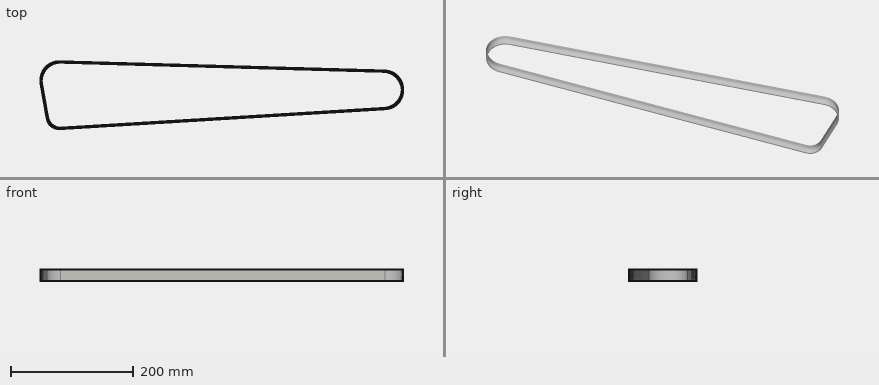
import cadquery as cq
import math

LENGTH = 593.83
DEPTH = 110.82
WIDTH = 19.05

THICKNESS = 2.03
LARGE_RADIUS = 31.68
SMALL_RADIUS = 21.6

RIGHT_PULLEY_RISE = 64.12

LEFT_X = LARGE_RADIUS - LENGTH / 2
TOP_LEFT = (LEFT_X, DEPTH / 2 - LARGE_RADIUS, LARGE_RADIUS)
RIGHT = (LENGTH / 2 - LARGE_RADIUS, RIGHT_PULLEY_RISE - DEPTH / 2, LARGE_RADIUS)
BOTTOM_LEFT = (LEFT_X, SMALL_RADIUS - DEPTH / 2, SMALL_RADIUS)
PULLEYS = [TOP_LEFT, RIGHT, BOTTOM_LEFT]


def tangent_angle(start, end):
    """Angle on both pulleys where the straight run from start to end touches them."""
    start_x, start_y, start_radius = start
    end_x, end_y, end_radius = end
    dx = end_x - start_x
    dy = end_y - start_y
    lean = math.asin((start_radius - end_radius) / math.hypot(dx, dy))
    return math.atan2(dy, dx) + math.pi / 2 - lean


def point_on(pulley, angle, inset):
    """Point at the given angle on a pulley's belt arc, moved inward by inset."""
    x, y, radius = pulley
    reach = radius - inset
    return (x + reach * math.cos(angle), y + reach * math.sin(angle))


def loop_solid(inset):
    """Solid filling the loop whose outline lies inset from the outer belt face."""
    next_pulleys = PULLEYS[1:] + PULLEYS[:1]
    leave_angles = [tangent_angle(start, end) for start, end in zip(PULLEYS, next_pulleys)]
    arrive_angles = leave_angles[-1:] + leave_angles[:-1]

    outline = cq.Workplane("XY").moveTo(*point_on(PULLEYS[-1], leave_angles[-1], inset))
    for pulley, arrive, leave in zip(PULLEYS, arrive_angles, leave_angles):
        wrap = (arrive - leave) % (2 * math.pi)
        arc_start = point_on(pulley, arrive, inset)
        arc_middle = point_on(pulley, arrive - wrap / 2, inset)
        arc_end = point_on(pulley, leave, inset)
        outline = outline.lineTo(*arc_start).threePointArc(arc_middle, arc_end)
    return outline.close().extrude(WIDTH)


result = loop_solid(0).cut(loop_solid(THICKNESS))